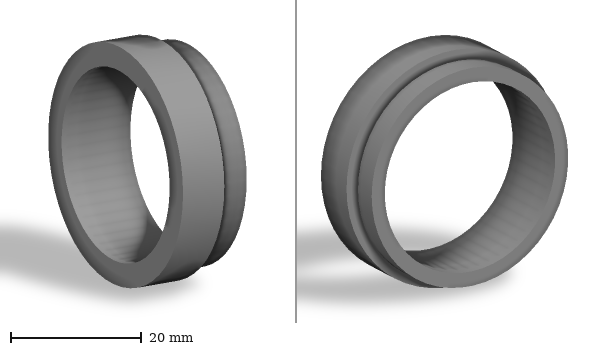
import cadquery as cq

flange_diameter = 38.1
spigot_diameter = 35.2
groove_diameter = 34.0
bore_diameter = 30.5

total_length = 12.5
flange_length = 7.5
groove_width = 1.0
spigot_length = total_length - flange_length - groove_width


def disc(diameter, start, length):
    """Solid cylinder along +Y, starting at Y = start."""
    return cq.Workplane("XZ", origin=(0, start, 0)).circle(diameter / 2).extrude(-length)


flange = disc(flange_diameter, 0, flange_length)
groove_floor = disc(groove_diameter, flange_length, groove_width)
spigot = disc(spigot_diameter, flange_length + groove_width, spigot_length)

bore = disc(bore_diameter, 0, total_length)

result = flange.union(groove_floor).union(spigot).cut(bore)